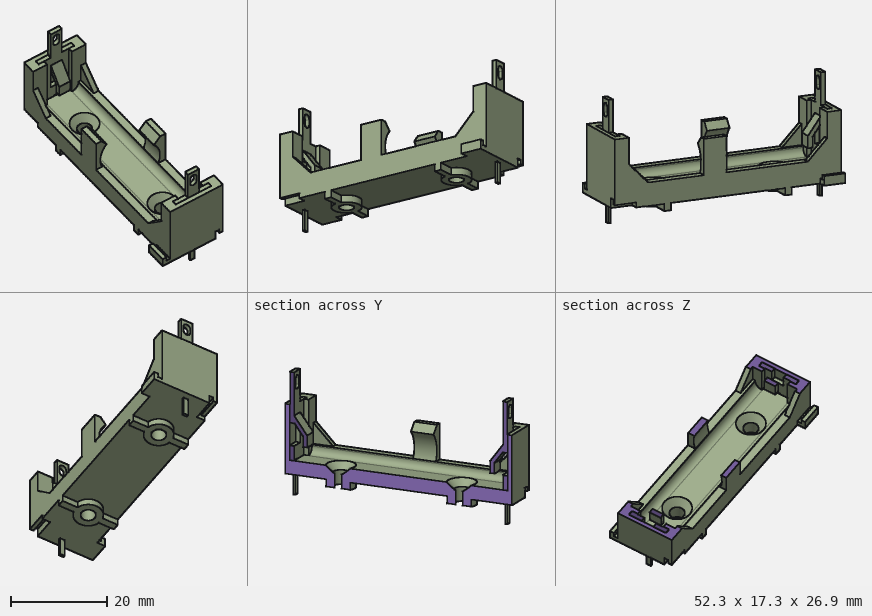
import cadquery as cq
import math


length = 52.3
width = 13.5
overall_width = 17.3
tower_height = 15.25
tower_thickness = 3.25
rim_height = 5.05
floor_height = 3.15
trough_width = 9.6
floor_width = 6.35

gusset_thickness = 1.25
gusset_size = 4.55

clip_length = 5.25
clip_offset = 0.35
clip_top = 12.9
clip_tip_height = 11.25
clip_land = 1.35
cell_radius = 5.5
cell_axis_height = 7.4
cell_axis_y = -0.15

hole_spacing = 27.9
hole_diameter = 3.2
sink_diameter = 6.3
foot_diameter = 6.35
foot_height = 1.55
foot_rib_width = 1.55

hook_length = 4.9
hook_base = 1.1
hook_height = 2.1
hook_lip = 1.0

plate_gap = 48.0
plate_thickness = 1.05
plate_width = 9.05
tab_width = 2.8
tab_top = 22.35
slot_width = 1.55
slot_length = 2.95
slot_height = 19.9
pin_bottom = -4.55
pin_thickness = 0.5
pin_width = 1.15
pin_setback = 0.15
spring_width = 2.8
spring_reach = 3.0
spring_root = 12.9
spring_knee = 9.0
spring_bottom = 6.35

half_length = length / 2
half_width = width / 2
tower_face = half_length - tower_thickness
hook_reach = (overall_width - width) / 2
plate_face = plate_gap / 2


def block(x_range, y_range, z_range):
    """Box given by its lower and upper limits along each axis."""
    sizes = [high - low for low, high in (x_range, y_range, z_range)]
    corner = (x_range[0], y_range[0], z_range[0])
    return cq.Workplane("XY").box(*sizes, centered=False).translate(corner)


def centred(size):
    """Limits of a span centred on zero."""
    return (-size / 2, size / 2)


def both_ends(shape):
    """The shape and its copy turned half a turn about Z."""
    return [shape, shape.rotate((0, 0, 0), (0, 0, 1), 180)]


def extrude_x(profile, start, distance):
    """Extrude a closed YZ profile along +X from the given place."""
    return profile.extrude(distance).translate((start, 0, 0))


def make_shell():
    """Base block with end towers, corner gussets and the filleted trough."""
    slope_foot = tower_face - gusset_size
    slope_top = rim_height + gusset_size
    outline = [
        (-half_length, 0),
        (half_length, 0),
        (half_length, tower_height),
        (tower_face, tower_height),
        (tower_face, slope_top),
        (slope_foot, rim_height),
        (-slope_foot, rim_height),
        (-tower_face, slope_top),
        (-tower_face, tower_height),
        (-half_length, tower_height),
    ]
    shell = cq.Workplane("XZ").polyline(outline).close().extrude(half_width, both=True)

    between_towers = centred(2 * tower_face)
    between_gussets = centred(width - 2 * gusset_thickness)
    shell = shell.cut(block(between_towers, between_gussets, (rim_height, tower_height)))

    fillet_radius = (trough_width - floor_width) / 2
    trough = block(between_towers, centred(trough_width), (floor_height, rim_height))
    return shell.cut(trough.edges("|X and <Z").fillet(fillet_radius))


def make_clip(side):
    """Clip on the rim at +Y (side 1) or -Y (side -1), with a lead-in slope above the cell's arc."""
    def arc_y(z):
        return cell_axis_y + side * math.sqrt(cell_radius**2 - (z - cell_axis_height)**2)

    outer = side * half_width
    profile = (
        cq.Workplane("YZ")
        .moveTo(outer, rim_height)
        .lineTo(outer, clip_top)
        .lineTo(outer - side * clip_land, clip_top)
        .lineTo(arc_y(clip_tip_height), clip_tip_height)
        .threePointArc((arc_y(cell_axis_height), cell_axis_height), (arc_y(rim_height), rim_height))
        .close()
    )
    middle = side * (clip_offset + clip_length / 2)
    return extrude_x(profile, middle - clip_length / 2, clip_length)


def make_hook():
    """Upturned hook on the +Y side, at the -X end."""
    outer = half_width + hook_reach
    profile = cq.Workplane("YZ").polyline([
        (half_width, 0),
        (outer, 0),
        (outer, hook_height),
        (outer - hook_lip, hook_height),
        (outer - hook_lip, hook_base),
        (half_width, hook_base),
    ]).close()
    return extrude_x(profile, -half_length, hook_length)


def make_foot(x):
    """Round foot with a rib across the full width."""
    foot = cq.Workplane("XY").center(x, 0).circle(foot_diameter / 2).extrude(-foot_height)
    rib_span = (x - foot_rib_width / 2, x + foot_rib_width / 2)
    return foot.union(block(rib_span, centred(width), (-foot_height, 0)))


def make_screw_hole(x):
    """Through hole with a 45 degree countersink in the floor."""
    sink_depth = (sink_diameter - hole_diameter) / 2
    profile = [
        (0, -foot_height),
        (hole_diameter / 2, -foot_height),
        (hole_diameter / 2, floor_height - sink_depth),
        (sink_diameter / 2, floor_height),
        (0, floor_height),
    ]
    hole = cq.Workplane("XZ").polyline(profile).close().revolve(360, (0, 0, 0), (0, 1, 0))
    return hole.translate((x, 0, 0))


def terminal_plate():
    """Full plate of the terminal at the +X end, standing on the floor."""
    x_range = (plate_face, plate_face + plate_thickness)
    return block(x_range, centred(plate_width), (floor_height, tower_height))


def terminal_pin():
    """Solder pin under the plate of the terminal at the +X end."""
    start = plate_face + pin_setback
    return block((start, start + pin_thickness), centred(pin_width), (pin_bottom, floor_height))


def make_housing():
    housing = make_shell()
    for side in (1, -1):
        housing = housing.union(make_clip(side))

    hook = make_hook()
    groove = hook.translate((0, -width, 0))
    for part in both_ends(hook):
        housing = housing.union(part)
    for part in both_ends(groove):
        housing = housing.cut(part)

    for x in centred(hole_spacing):
        housing = housing.union(make_foot(x)).cut(make_screw_hole(x))

    opening = block((tower_face, plate_face), centred(floor_width), (floor_height, tower_height))
    seat = terminal_plate().union(terminal_pin()).union(opening)
    for part in both_ends(seat):
        housing = housing.cut(part)
    return housing


def make_spring():
    """Bent tongue of constant thickness, reaching from the plate to the cell."""
    tip = plate_face - spring_reach
    lean = math.atan2(spring_reach, spring_root - spring_knee)
    inner_knee = spring_knee - plate_thickness * math.tan(lean / 2)
    inner_root = spring_root - plate_thickness / math.sin(lean)
    outline = [
        (plate_face, spring_root),
        (tip, spring_knee),
        (tip, spring_bottom),
        (tip + plate_thickness, spring_bottom),
        (tip + plate_thickness, inner_knee),
        (plate_face, inner_root),
    ]
    spring = cq.Workplane("XZ").polyline(outline).close().extrude(spring_width / 2, both=True)
    return spring, inner_root


def make_terminal():
    """Terminal at the +X end: plate, solder tab, pin and punched-out spring."""
    x_range = (plate_face, plate_face + plate_thickness)
    spring, window_top = make_spring()
    window = block(x_range, centred(spring_width), (spring_bottom, window_top))
    tab = block(x_range, centred(tab_width), (tower_height, tab_top))
    tab_slot = (
        cq.Workplane("YZ", origin=(plate_face, 0, slot_height))
        .slot2D(slot_length, slot_width, 90)
        .extrude(plate_thickness)
    )
    plate = terminal_plate().cut(window)
    return plate.union(tab.cut(tab_slot)).union(terminal_pin()).union(spring)


housing = make_housing()
terminals = both_ends(make_terminal())
result = cq.Compound.makeCompound([housing.val(), *[terminal.val() for terminal in terminals]])